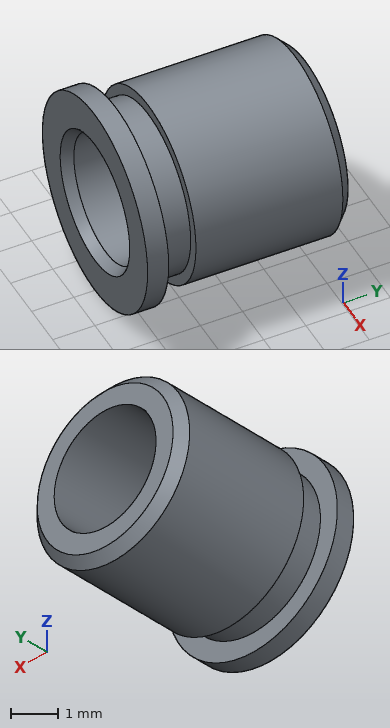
import cadquery as cq

length = 5.0
flange_diameter = 5.0
flange_thickness = 0.5
body_diameter = 4.5
body_chamfer = 0.25
neck_diameter = 4.0
neck_width = 0.77
bore_diameter = 3.0
bore_chamfer_width = 0.15
bore_chamfer_depth = 0.25

neck_end = flange_thickness + neck_width


def cylinder_along_y(diameter, start, end):
    """Solid cylinder on the Y axis between two Y positions."""
    plane = cq.Workplane("XZ", origin=(0, start, 0))
    return plane.circle(diameter / 2).extrude(start - end)


def make_outside():
    """Flange, relief neck and body with a chamfered leading end."""
    flange = cylinder_along_y(flange_diameter, 0, flange_thickness)
    neck = cylinder_along_y(neck_diameter, 0, neck_end)
    body = cylinder_along_y(body_diameter, neck_end, length)
    body = body.faces(">Y").edges().chamfer(body_chamfer)
    return flange.union(neck).union(body)


def cut_bore(bushing):
    """Through bore with a tapered lead-in at the flange face."""
    bore_radius = bore_diameter / 2
    mouth_radius = bore_radius + bore_chamfer_width
    lead_in = cq.Solid.makeCone(
        mouth_radius,
        bore_radius,
        bore_chamfer_depth,
        pnt=cq.Vector(0, 0, 0),
        dir=cq.Vector(0, 1, 0),
    )
    return bushing.cut(cylinder_along_y(bore_diameter, 0, length)).cut(cq.Workplane(lead_in))


result = cut_bore(make_outside())